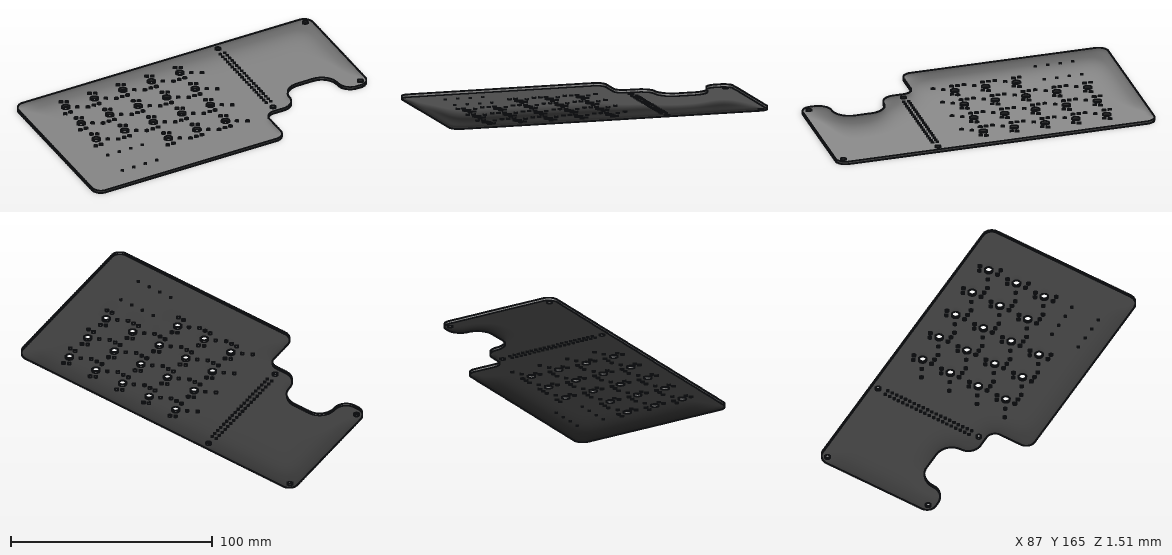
import cadquery as cq

board_width = 87.0
board_length = 165.0
board_thickness = 1.51
module_width = 65.0
keypad_length = 106.0
corner_radius = 5.0

cutout_floor_x = 49.0
cutout_width = 27.0
cutout_centre_y = 137.2
cutout_inner_radius = 9.0
cutout_outer_radius = module_width - cutout_floor_x - cutout_inner_radius

mount_diameter = 2.7
mount_inset = 3.5
mount_pitch_x = module_width - 2 * mount_inset
mount_pitch_y = 49.0

header_diameter = 1.0
header_columns = 20
header_rows = 2
header_pitch = 2.54

key_pitch = 16.0
first_key_x = 13.35
first_key_y = 21.93
keys_per_row = [3, 3, 4, 4, 4]
key_stem_diameter = 4.0
key_peg_diameter = 1.75
key_pin_diameter = 1.5
key_grid = 1.27
key_peg_offset = 4 * key_grid
key_pin_offsets = [(-3 * key_grid, 2 * key_grid), (2 * key_grid, 4 * key_grid)]

diode_diameter = 1.6
diode_lead_pitch = 12.7
diode_front_offset_y = -3.03

resistor_diameter = 1.0
resistor_count = 4
resistor_lead_pitch = 15.24
resistor_pitch = 6.45
first_resistor_x = 60.45
first_resistor_y = 20.45


def make_board():
    """Flat plate with rounded corners and the cable cutout."""
    r = corner_radius
    cutout_front = cutout_centre_y - cutout_width / 2
    cutout_back = cutout_centre_y + cutout_width / 2
    blend_x = cutout_floor_x + cutout_inner_radius
    outline = (
        cq.Workplane("XY")
        .moveTo(r, 0)
        .lineTo(board_width - r, 0)
        .radiusArc((board_width, r), -r)
        .lineTo(board_width, keypad_length - r)
        .radiusArc((board_width - r, keypad_length), -r)
        .lineTo(module_width + r, keypad_length)
        .radiusArc((module_width, keypad_length + r), r)
        .lineTo(module_width, cutout_front - cutout_outer_radius)
        .radiusArc((blend_x, cutout_front), -cutout_outer_radius)
        .radiusArc((cutout_floor_x, cutout_front + cutout_inner_radius), cutout_inner_radius)
        .lineTo(cutout_floor_x, cutout_back - cutout_inner_radius)
        .radiusArc((blend_x, cutout_back), cutout_inner_radius)
        .radiusArc((module_width, cutout_back + cutout_outer_radius), -cutout_outer_radius)
        .lineTo(module_width, board_length - r)
        .radiusArc((module_width - r, board_length), -r)
        .lineTo(r, board_length)
        .radiusArc((0, board_length - r), -r)
        .lineTo(0, r)
        .radiusArc((r, 0), -r)
        .close()
    )
    return outline.extrude(board_thickness)


def drill(board, points, diameter):
    """Cut a through hole at every point."""
    pins = cq.Workplane("XY").pushPoints(points).circle(diameter / 2).extrude(board_thickness)
    return board.cut(pins)


def grid(first_x, first_y, columns, rows, pitch_x, pitch_y):
    """Points of a rectangular grid that starts at its front left point."""
    return [
        (first_x + column * pitch_x, first_y + row * pitch_y)
        for row in range(rows)
        for column in range(columns)
    ]


def offset_points(points, offsets):
    """Every point moved by every offset."""
    return [(x + dx, y + dy) for x, y in points for dx, dy in offsets]


def drill_module_holes(board):
    """Mounting holes and pin header of the computer module."""
    front_mount_y = board_length - mount_inset - mount_pitch_y
    mounts = grid(mount_inset, front_mount_y, 2, 2, mount_pitch_x, mount_pitch_y)
    header_x = module_width / 2 - (header_columns - 1) * header_pitch / 2
    header_y = front_mount_y - (header_rows - 1) * header_pitch / 2
    header = grid(header_x, header_y, header_columns, header_rows, header_pitch, header_pitch)
    board = drill(board, mounts, mount_diameter)
    return drill(board, header, header_diameter)


def drill_key_holes(board):
    """Stem, peg, pin and diode holes of every key."""
    keys = [
        (first_key_x + column * key_pitch, first_key_y + row * key_pitch)
        for row, key_count in enumerate(keys_per_row)
        for column in range(key_count)
    ]
    peg_offsets = [(-key_peg_offset, 0), (key_peg_offset, 0)]
    diode_offsets = [
        (key_peg_offset, diode_front_offset_y),
        (key_peg_offset, diode_front_offset_y + diode_lead_pitch),
    ]
    board = drill(board, keys, key_stem_diameter)
    board = drill(board, offset_points(keys, peg_offsets), key_peg_diameter)
    board = drill(board, offset_points(keys, key_pin_offsets), key_pin_diameter)
    return drill(board, offset_points(keys, diode_offsets), diode_diameter)


def drill_resistor_holes(board):
    """Lead holes of the resistors."""
    leads = grid(
        first_resistor_x, first_resistor_y, 2, resistor_count, resistor_lead_pitch, resistor_pitch
    )
    return drill(board, leads, resistor_diameter)


result = make_board()
result = drill_module_holes(result)
result = drill_key_holes(result)
result = drill_resistor_holes(result)